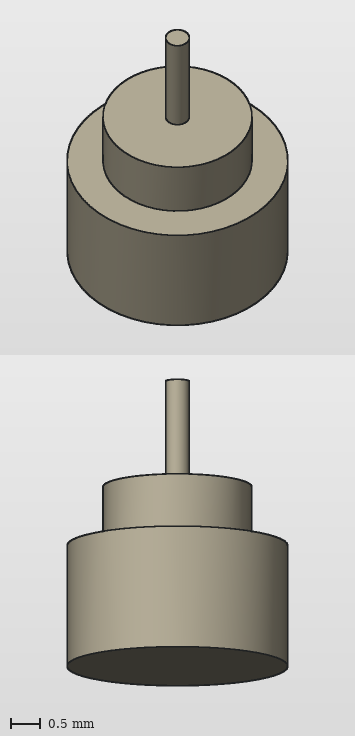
import cadquery as cq

total_height = 4.85
base_diameter = 3.7
base_height = 2.05
collar_diameter = 2.5
collar_height = 1.0
pin_diameter = 0.4

collar_top = base_height + collar_height
pin_height = total_height - collar_top


def upright_cylinder(diameter, height, bottom):
    """Cylinder on the Z axis, standing on the given level."""
    return cq.Workplane("XY", origin=(0, 0, bottom)).circle(diameter / 2).extrude(height)


base = upright_cylinder(base_diameter, base_height, 0)
collar = upright_cylinder(collar_diameter, collar_height, base_height)
pin = upright_cylinder(pin_diameter, pin_height, collar_top)

result = base.union(collar).union(pin)